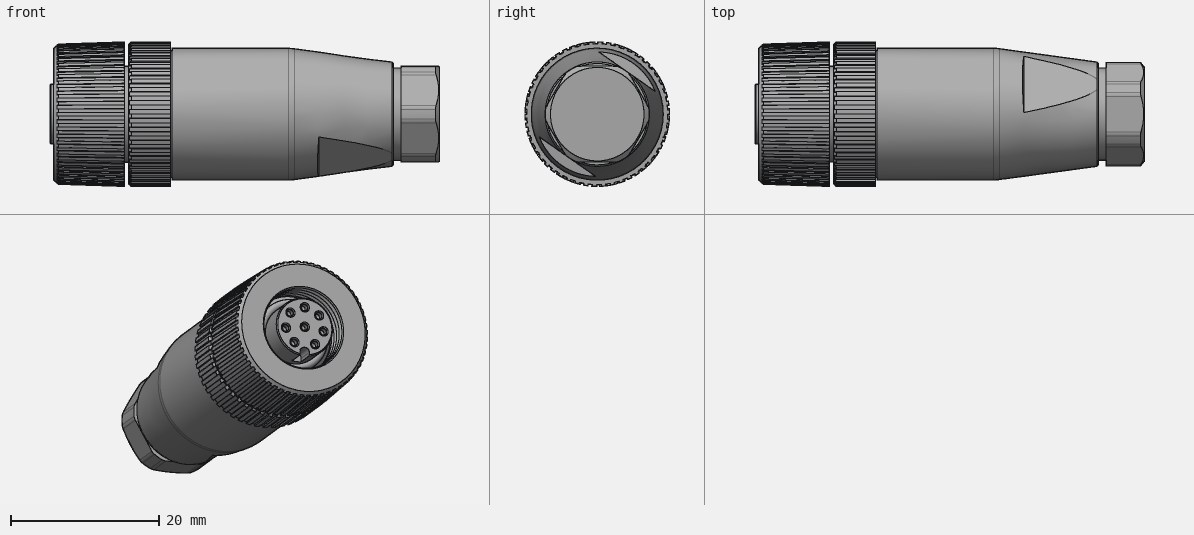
import cadquery as cq
import math

length = 52.55

ring_start = 0.5
ring_end = 10.05
ring_front_radius = 9.45
ring_back_radius = 19.5 / 2
ring_face_radius = 8.9
ring_chamfer = 0.65
ring_teeth = 60
ring_groove_width = 0.5
ring_groove_depth = 0.2
ring_groove_phase = 0.02

collar_start = 10.6
collar_end = 16.3
collar_radius = 19.5 / 2
collar_chamfer = 0.35
collar_teeth = 50
collar_groove_width = 0.65
collar_groove_depth = 0.25
collar_groove_phase = 0.22

neck_radius = 13.0 / 2
body_start = 16.5
body_seat_radius = 8.55
body_radius = 17.8 / 2
shoulder_start = 32.15
shoulder_end = 33.0
shoulder_end_radius = 8.85
cone_end = 46.3
cone_end_radius = 7.05
cone_edge = 0.2

flat_start = 36.0
flat_distance = 7.0
flat_wall_run = 0.25
flat_angle = 55.0

nut_turn = 30.0
nut_start = 47.35
nut_neck_radius = 12.5 / 2
nut_radius = 7.0
nut_across_flats = 12.9
nut_edge_fillet = 1.25
nut_chamfer_length = 0.6
nut_chamfer_depth = 0.7

thread_minor_radius = 11.2 / 2
thread_mouth_radius = 5.8
thread_groove_depth = 0.4
thread_pitch = 1.0
thread_turns = 4
socket_floor = 5.25
insert_radius = 4.05
insert_edge = 0.15

seal_section_radius = 0.6
seal_crest_radius = 4.45
seal_skirt = 0.5

contact_circle_radius = 2.75
contact_step = 49.0
contacts_each_side = 3
contact_mouth_radius = 1.3 / 2
contact_throat_radius = 1.0 / 2
contact_bore_radius = 0.9 / 2
contact_mouth_depth = 0.15
contact_depth = 1.05
key_width = 1.3
key_centre = 3.5
key_depth = 3.15


def revolve_about_x(outline):
    """Revolve a closed XY wire, drawn as (x, radius), about the X axis."""
    return outline.close().revolve(360, (0, 0, 0), (1, 0, 0))


def turned(points):
    """Turned shape from straight-sided (x, radius) points."""
    return revolve_about_x(cq.Workplane("XY").polyline(points))


def knurl_grooves(start, end, start_radius, end_radius, width, depth, count, phase):
    """Square grooves round a cylinder or cone, their floors parallel to its surface."""
    cutter_height = 3 * depth
    slope = math.degrees(math.atan2(end_radius - start_radius, end - start))
    middle_radius = (start_radius + end_radius) / 2
    groove = (
        cq.Workplane("XY")
        .box(2 * (end - start), width, cutter_height, centered=(True, True, False))
        .rotate((0, 0, 0), (0, 1, 0), -slope)
        .translate(((start + end) / 2, 0, middle_radius - depth))
    )
    limit = cq.Workplane("YZ").workplane(offset=start).circle(2 * end_radius).extrude(end - start)
    groove = groove.intersect(limit).val()
    return [groove.rotate((0, 0, 0), (1, 0, 0), 360 * (i + phase) / count) for i in range(count)]


def coupling_ring():
    blank = turned([
        (ring_start, 0),
        (ring_start, ring_face_radius),
        (ring_start + ring_chamfer, ring_front_radius),
        (ring_end, ring_back_radius),
        (ring_end, 0),
    ])
    grooves = knurl_grooves(
        ring_start, ring_end, ring_front_radius, ring_back_radius,
        ring_groove_width, ring_groove_depth, ring_teeth, ring_groove_phase,
    )
    return blank.cut(cq.Workplane(cq.Compound.makeCompound(grooves)))


def collar():
    blank = turned([
        (collar_start, 0),
        (collar_start, collar_radius - collar_chamfer),
        (collar_start + collar_chamfer, collar_radius),
        (collar_end, collar_radius),
        (collar_end, 0),
    ])
    grooves = knurl_grooves(
        collar_start, collar_end, collar_radius, collar_radius,
        collar_groove_width, collar_groove_depth, collar_teeth, collar_groove_phase,
    )
    return blank.cut(cq.Workplane(cq.Compound.makeCompound(grooves)))


def handle():
    outline = (
        cq.Workplane("XY")
        .moveTo(ring_end, 0)
        .lineTo(ring_end, neck_radius)
        .lineTo(collar_start, neck_radius)
        .lineTo(collar_end, body_seat_radius)
        .lineTo(body_start, body_seat_radius)
        .lineTo(body_start, body_radius)
        .lineTo(shoulder_start, body_radius)
        .tangentArcPoint((shoulder_end, shoulder_end_radius), relative=False)
        .lineTo(cone_end - cone_edge, cone_end_radius)
        .lineTo(cone_end, cone_end_radius - cone_edge)
        .lineTo(cone_end, nut_neck_radius)
        .lineTo(nut_start, nut_neck_radius)
        .lineTo(nut_start, 0)
    )
    return revolve_about_x(outline)


def cone_flats():
    """Cutter for the two flats: each has a slightly leaning end wall."""
    cutter = (
        cq.Workplane("XZ")
        .polyline([
            (flat_start + flat_wall_run, flat_distance),
            (cone_end, flat_distance),
            (cone_end, body_radius),
            (flat_start, body_radius),
        ])
        .close()
        .extrude(body_radius, both=True)
    )
    first = cutter.rotate((0, 0, 0), (1, 0, 0), flat_angle - 90)
    return first.union(first.rotate((0, 0, 0), (1, 0, 0), 180))


def nut():
    """Hexagon with its corners turned round and blended, and a chamfered end."""
    hexagon = (
        cq.Workplane("YZ")
        .workplane(offset=nut_start)
        .polygon(6, nut_across_flats, circumscribed=True)
        .extrude(length - nut_start)
        .rotate((0, 0, 0), (1, 0, 0), nut_turn)
    )
    round_bar = turned([(nut_start, 0), (nut_start, nut_radius), (length, nut_radius), (length, 0)])
    chamfered_bar = turned([
        (nut_start, 0),
        (nut_start, nut_radius),
        (length - nut_chamfer_length, nut_radius),
        (length, nut_radius - nut_chamfer_depth),
        (length, 0),
    ])
    return hexagon.intersect(round_bar).edges("|X").fillet(nut_edge_fillet).intersect(chamfered_bar)


def socket():
    """Threaded cavity of the coupling ring, as a cutter; the thread is a row of V grooves."""
    mouth_chamfer = thread_mouth_radius - thread_minor_radius
    points = [
        (ring_start, 0),
        (ring_start, thread_mouth_radius),
        (ring_start + mouth_chamfer, thread_minor_radius),
    ]
    for turn in range(thread_turns):
        groove_start = ring_start + mouth_chamfer + turn * thread_pitch
        points.append((groove_start + thread_pitch / 2, thread_minor_radius + thread_groove_depth))
        points.append((groove_start + thread_pitch, thread_minor_radius))
    points.append((socket_floor, thread_minor_radius))
    points.append((socket_floor, 0))
    return turned(points)


def insert_nose():
    return turned([
        (0, 0),
        (0, insert_radius - insert_edge),
        (insert_edge, insert_radius),
        (socket_floor, insert_radius),
        (socket_floor, 0),
    ])


def seal():
    """Round crest against the insert, falling away in a conical skirt to the cavity wall."""
    base = socket_floor - seal_skirt
    inner_rise = math.sqrt(seal_section_radius**2 - (seal_crest_radius - insert_radius) ** 2)
    outline = (
        cq.Workplane("XY")
        .moveTo(socket_floor, insert_radius)
        .lineTo(base - inner_rise, insert_radius)
        .threePointArc(
            (base - seal_section_radius, seal_crest_radius),
            (base, seal_crest_radius + seal_section_radius),
        )
        .lineTo(socket_floor, thread_minor_radius)
    )
    return revolve_about_x(outline)


def contact_holes():
    """Cutter for the contacts: flared mouth, bore and conical bottom."""
    tip = contact_depth + contact_bore_radius
    hole = turned([
        (0, 0),
        (0, contact_mouth_radius),
        (contact_mouth_depth, contact_throat_radius),
        (contact_mouth_depth, contact_bore_radius),
        (contact_depth, contact_bore_radius),
        (tip, 0),
    ])
    holes = hole
    for i in range(-contacts_each_side, contacts_each_side + 1):
        angle = i * contact_step
        placed = hole.translate((0, 0, contact_circle_radius)).rotate((0, 0, 0), (1, 0, 0), angle)
        holes = holes.union(placed)
    return holes


def key_slot():
    """Round-bottomed slot, open at the underside of the insert."""
    half_round = cq.Workplane("YZ").center(0, -key_centre).circle(key_width / 2).extrude(key_depth)
    side = (
        cq.Workplane("YZ")
        .center(0, -key_centre - key_width / 2)
        .rect(key_width, key_width)
        .extrude(key_depth)
    )
    return half_round.union(side)


housing = handle().cut(cone_flats())
housing = housing.union(coupling_ring().cut(socket())).union(collar()).union(nut())
nose = insert_nose().cut(contact_holes()).cut(key_slot())
result = housing.union(seal()).union(nose)